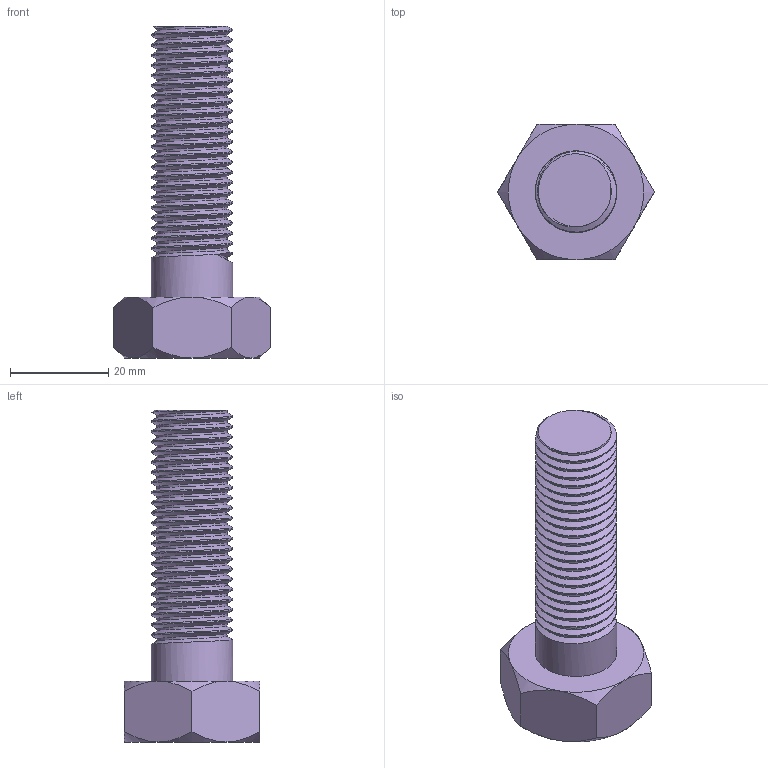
import cadquery as cq
import math

across_flats = 27.57
total_length = 67.55

thread_diameter = 0.6 * across_flats
thread_radius = thread_diameter / 2
pitch = thread_diameter / 8
head_height = 0.75 * thread_diameter
plain_shank_length = thread_diameter / 2
end_chamfer = 0.6

across_corners = across_flats / math.cos(math.radians(30))
head_chamfer_angle = math.radians(45)

flank_angle = math.radians(30)
triangle_height = pitch * math.cos(flank_angle)
thread_depth = 5 / 8 * triangle_height
root_radius = thread_radius - thread_depth
root_flat = pitch / 4
crest_overlap = 0.05

groove_start = head_height + plain_shank_length - 0.22 * pitch
runout_angle = math.radians(51)
runout_rise = 0.4 * pitch


def turned(outline):
    """Full revolution about Z of a closed outline drawn in the XZ plane."""
    return outline.revolve(360, (0, 0, 0), (0, 1, 0))


def hex_head():
    """Hexagonal head with corners on X and a cone cutting the corners at both faces."""
    prism = cq.Workplane("XY").polygon(6, across_corners).extrude(head_height)
    corner_radius = across_corners / 2
    face_radius = across_flats / 2
    chamfer_drop = (corner_radius - face_radius) * math.tan(head_chamfer_angle)
    envelope = turned(
        cq.Workplane("XZ")
        .lineTo(face_radius, 0)
        .lineTo(corner_radius, chamfer_drop)
        .lineTo(corner_radius, head_height - chamfer_drop)
        .lineTo(face_radius, head_height)
        .lineTo(0, head_height)
        .close()
    )
    return prism.intersect(envelope)


def shank():
    """Cylinder from the bottom of the head to the free end, with its seam on -X."""
    cylinder = cq.Workplane("XY").circle(thread_radius).extrude(total_length)
    return cylinder.rotate((0, 0, 0), (0, 0, 1), 180)


def end_chamfer_ring():
    """Ring whose inner cone cuts the 45 degree chamfer of the free end."""
    ring = turned(
        cq.Workplane("XZ")
        .moveTo(thread_radius - end_chamfer, total_length)
        .lineTo(thread_radius + end_chamfer, total_length)
        .lineTo(thread_radius + end_chamfer, total_length - 2 * end_chamfer)
        .close()
    )
    return ring.rotate((0, 0, 0), (0, 0, 1), 180)


def groove_section(outer_radius):
    """Groove outline in the XZ plane, from the flat root out to outer_radius."""
    root_half = root_flat / 2
    outer_half = root_half + (outer_radius - root_radius) * math.tan(flank_angle)
    return (
        cq.Workplane("XZ")
        .moveTo(root_radius, groove_start - root_half)
        .lineTo(outer_radius, groove_start - outer_half)
        .lineTo(outer_radius, groove_start + outer_half)
        .lineTo(root_radius, groove_start + root_half)
        .close()
    )


def thread_groove():
    """Right-hand helical groove that starts at +X and passes out of the free end."""
    path_height = total_length + pitch - groove_start
    helix = cq.Wire.makeHelix(pitch, path_height, root_radius)
    path = helix.translate(cq.Vector(0, 0, groove_start))
    section = groove_section(thread_radius + crest_overlap)
    return section.sweep(cq.Workplane(obj=path), isFrenet=True)


def groove_runout():
    """Wedge that deepens from a tip on the shank surface to the full groove at +X."""
    outer_radius = thread_radius / math.cos(runout_angle)
    base = groove_section(outer_radius).wires().val()
    tip = cq.Vertex.makeVertex(
        thread_radius * math.cos(runout_angle),
        -thread_radius * math.sin(runout_angle),
        groove_start + runout_rise,
    )
    return cq.Workplane(obj=cq.occ_impl.shapes.loft(base, tip, cap=True, ruled=True))


threaded_shank = shank().cut(thread_groove()).cut(end_chamfer_ring()).cut(groove_runout())
result = threaded_shank.union(hex_head())